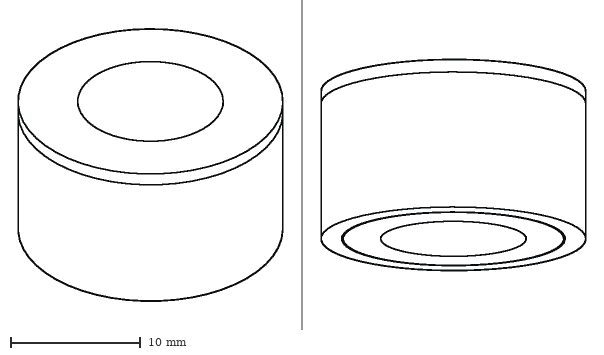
import cadquery as cq

OUTER_DIAMETER = 20.4
BORE_DIAMETER = 11.2
SHANK_DIAMETER = 17.0
SLEEVE_BORE_DIAMETER = 17.2
TOTAL_HEIGHT = 11.7
FLANGE_THICKNESS = 1.0
SLEEVE_HEIGHT = TOTAL_HEIGHT - FLANGE_THICKNESS


def make_sleeve():
    """Outer ring that fits around the shank with a small clearance, below the flange."""
    return (
        cq.Workplane("XY")
        .circle(OUTER_DIAMETER / 2)
        .circle(SLEEVE_BORE_DIAMETER / 2)
        .extrude(SLEEVE_HEIGHT)
    )


def make_bushing():
    """Full-height shank with a flange at the top and a plain through bore."""
    shank = cq.Workplane("XY").circle(SHANK_DIAMETER / 2).extrude(TOTAL_HEIGHT)
    flange = (
        cq.Workplane("XY", origin=(0, 0, SLEEVE_HEIGHT))
        .circle(OUTER_DIAMETER / 2)
        .extrude(FLANGE_THICKNESS)
    )
    bore = cq.Workplane("XY").circle(BORE_DIAMETER / 2).extrude(TOTAL_HEIGHT)
    return shank.union(flange).cut(bore)


sleeve = make_sleeve()
bushing = make_bushing()

result = cq.Compound.makeCompound([sleeve.val(), *bushing.solids().vals()])